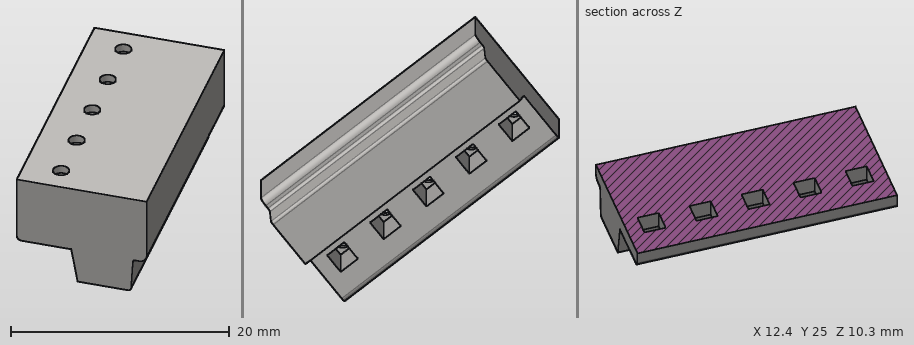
import cadquery as cq

width = 12.4
length = 25.0
height = 10.3
tab_depth = 3.5
left_corner_radius = 0.5
right_corner_radius = 0.7

tab_top_left = 5.2
tab_top_right = 11.1
tab_bottom_left = 5.81
tab_bottom_right = 10.9
tab_root_radius = 0.3
tab_tip_radius = 0.3

hole_diameter = 1.5
hole_count = 5
hole_pitch = 5.0
hole_x = 3.5
hole_depth = 0.8

shaft_side = 2.0

shoulder_z = tab_depth


def round_edge(body, x, z, radius):
    """Round the lengthwise edge that passes through the profile corner (x, z)."""
    edge = cq.selectors.NearestToPointSelector((x, length / 2, z))
    return body.edges("|Y").edges(edge).fillet(radius)


def make_body():
    """Extrude the block and tab profile along Y and round its lower corners."""
    profile = [
        (0, height),
        (0, shoulder_z),
        (tab_top_left, shoulder_z),
        (tab_bottom_left, 0),
        (tab_bottom_right, 0),
        (tab_top_right, shoulder_z),
        (width, shoulder_z),
        (width, height),
    ]
    body = cq.Workplane("XZ", origin=(0, length, 0)).polyline(profile).close().extrude(length)
    body = round_edge(body, 0, shoulder_z, left_corner_radius)
    body = round_edge(body, width, shoulder_z, right_corner_radius)
    body = round_edge(body, tab_top_right, shoulder_z, tab_root_radius)
    return round_edge(body, tab_bottom_right, 0, tab_tip_radius)


def make_holes():
    """Row of through openings: a round hole at the top and a square shaft below it."""
    centers = [(hole_x, length / 2 + (i - (hole_count - 1) / 2) * hole_pitch) for i in range(hole_count)]
    shaft_top = height - hole_depth
    round_holes = (
        cq.Workplane("XY", origin=(0, 0, shaft_top))
        .pushPoints(centers)
        .circle(hole_diameter / 2)
        .extrude(hole_depth)
    )
    shafts = (
        cq.Workplane("XY", origin=(0, 0, shoulder_z))
        .pushPoints(centers)
        .rect(shaft_side, shaft_side)
        .extrude(shaft_top - shoulder_z)
    )
    return round_holes.union(shafts)


result = make_body().cut(make_holes())